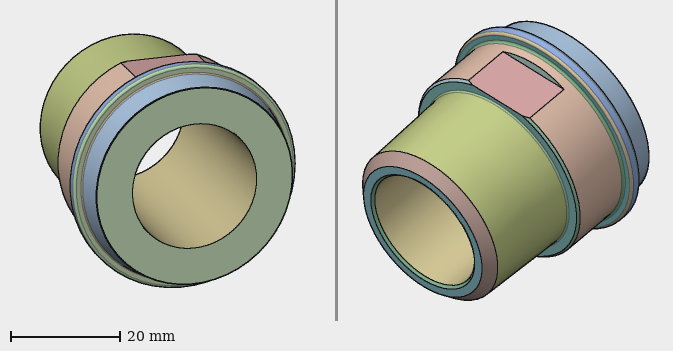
import cadquery as cq
import math

total_length = 41.5
body_start = 21.0
collar_start = 33.6
collar_end = 36.0

bore_radius = 24.0 / 2
body_radius = 39.0 / 2
collar_radius = 43.0 / 2
spigot_tip_radius = 14.28
spigot_radius = 16.3
spigot_root_radius = 16.95
nose_root_radius = 19.82
nose_end_radius = 19.0

spigot_chamfer_length = 2.05
spigot_fillet = 0.3
bore_chamfer = 0.5

body_chamfer = 0.47
body_fillet = 0.47
collar_round = 0.5
nose_fillet = 0.25
nose_edge_chamfer = 0.15

flat_height = 18.05
flat_end = 31.05
flat_wall_run = 0.3

diagonal = math.sqrt(0.5)


def corner_arc(outline, center, radius, x_side, r_side, end):
    """Add a quarter-round arc whose middle lies diagonally from its center."""
    middle = (
        center[0] + x_side * radius * diagonal,
        center[1] + r_side * radius * diagonal,
    )
    return outline.threePointArc(middle, end)


def revolved_body():
    """Revolve the half section (axial position, radius) about the X axis."""
    spigot_end = body_start - spigot_fillet
    fillet_top = spigot_root_radius + spigot_fillet
    body_end = collar_start - body_fillet
    body_fillet_top = body_radius + body_fillet
    round_start = collar_radius - collar_round
    nose_start = collar_end + nose_fillet
    nose_fillet_top = nose_root_radius + nose_fillet

    outline = (
        cq.Workplane("XY")
        .moveTo(bore_chamfer, bore_radius)
        .lineTo(0, bore_radius + bore_chamfer)
        .lineTo(0, spigot_tip_radius)
        .lineTo(spigot_chamfer_length, spigot_radius)
        .lineTo(spigot_end, spigot_root_radius)
    )
    outline = corner_arc(outline, (spigot_end, fillet_top), spigot_fillet, 1, -1,
                         (body_start, fillet_top))

    outline = (
        outline.lineTo(body_start, body_radius - body_chamfer)
        .lineTo(body_start + body_chamfer, body_radius)
        .lineTo(body_end, body_radius)
    )
    outline = corner_arc(outline, (body_end, body_fillet_top), body_fillet, 1, -1,
                         (collar_start, body_fillet_top))

    outline = outline.lineTo(collar_start, round_start)
    outline = corner_arc(outline, (collar_start + collar_round, round_start), collar_round, -1, 1,
                         (collar_start + collar_round, collar_radius))
    outline = outline.lineTo(collar_end - collar_round, collar_radius)
    outline = corner_arc(outline, (collar_end - collar_round, round_start), collar_round, 1, 1,
                         (collar_end, round_start))

    outline = outline.lineTo(collar_end, nose_fillet_top)
    outline = corner_arc(outline, (nose_start, nose_fillet_top), nose_fillet, -1, -1,
                         (nose_start, nose_root_radius))
    outline = (
        outline.lineTo(total_length - nose_edge_chamfer, nose_end_radius)
        .lineTo(total_length, nose_end_radius - nose_edge_chamfer)
        .lineTo(total_length, bore_radius)
        .close()
    )
    return outline.revolve(360, (0, 0, 0), (1, 0, 0))


def flat_cutter(side):
    """Material removed above (side = 1) or below (side = -1) the body."""
    return (
        cq.Workplane("XZ")
        .moveTo(body_start, side * flat_height)
        .lineTo(flat_end, side * flat_height)
        .lineTo(flat_end + flat_wall_run, side * body_radius)
        .lineTo(body_start, side * body_radius)
        .close()
        .extrude(body_radius, both=True)
    )


result = revolved_body()
for side in (1, -1):
    result = result.cut(flat_cutter(side))